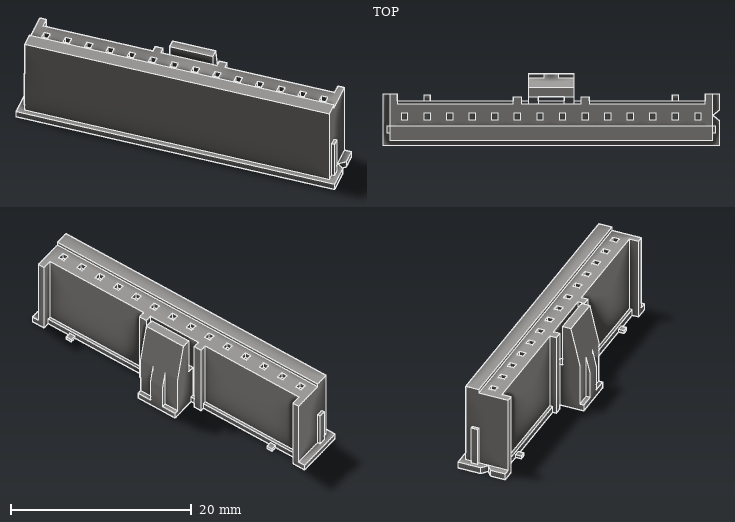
import cadquery as cq

length = 37.3
depth = 8.0
height = 10.5

flange_height = 0.8
flange_depth = 5.75
flange_overhang = 0.82
notch_depth = 0.75
notch_half_width = 0.6
notch_y = 3.35

body_length = length - 2 * flange_overhang
body_front = 0.55
body_back = 4.63
body_top = 10.07
lip_back = 2.15

end_wall_thickness = 0.8
recess_length = body_length - 2 * end_wall_thickness
ledge_back = 4.95

contact_count = 14
pitch = 2.5
pocket_width = 0.7
pocket_length = 0.8
pocket_y = 3.2
pocket_depth = 0.75

guide_thickness = 0.35
guide_front = 1.38
guide_top = 5.4

rib_back = 5.4
rib_width = 0.95
rib_offset = 1.5 * pitch
lug_width = 0.7
lug_back = 5.65
lug_height = 0.37
lug_offset = 5.5 * pitch

latch_width = 5.07
latch_front = 5.4
latch_top_back = 6.4
latch_slope_bottom = 3.9
latch_side_cut = 1.7
latch_side_back = 7.5
leg_width = 1.12
leg_top = 5.4


def block(x_center, width, y_front, y_back, z_bottom, z_top):
    """Box centred on x_center, spanning the given Y and Z ranges."""
    box = cq.Workplane("XY").box(
        width, y_back - y_front, z_top - z_bottom, centered=(True, False, False)
    )
    return box.translate((x_center, y_front, z_bottom))


def make_housing():
    flange = block(0, length, 0, flange_depth, 0, flange_height)
    body = block(0, body_length, body_front, flange_depth, 0, body_top)
    lip = block(0, body_length, body_front, lip_back, 0, height)
    recess = block(0, recess_length, body_back, flange_depth, 0, body_top)
    ledge = block(0, recess_length, body_back, ledge_back, 0, flange_height)
    return flange.union(body).union(lip).cut(recess).union(ledge)


def make_notch():
    """V-shaped keying notch in the +X edge of the flange."""
    edge = length / 2
    return (
        cq.Workplane("XY")
        .moveTo(edge, notch_y - notch_half_width)
        .lineTo(edge - notch_depth, notch_y)
        .lineTo(edge, notch_y + notch_half_width)
        .close()
        .extrude(flange_height)
    )


def make_pockets():
    """Row of blind contact openings in the top face."""
    return (
        cq.Workplane("XY", origin=(0, pocket_y, body_top - pocket_depth))
        .rarray(pitch, 0.37, contact_count, 1)
        .rect(pocket_width, pocket_length)
        .extrude(pocket_depth)
    )


def make_latch():
    """Sloped lever behind the housing, joined to it by two legs."""
    lever = (
        cq.Workplane("YZ", origin=(-latch_width / 2, 0, 0))
        .moveTo(latch_front, 0)
        .lineTo(depth, 0)
        .lineTo(depth, latch_slope_bottom)
        .lineTo(latch_top_back, height)
        .lineTo(latch_front, height)
        .close()
        .extrude(latch_width)
    )
    for side in (-1, 1):
        cut_x = side * (latch_width - latch_side_cut) / 2
        leg_x = side * (latch_width - leg_width) / 2
        side_cut = block(cut_x, latch_side_cut, latch_side_back, depth, flange_height, height)
        leg = block(leg_x, leg_width, body_back, latch_front, 0, leg_top)
        lever = lever.cut(side_cut).union(leg)
    return lever


def make_side_details(side):
    """End guide, back rib and back lug on the -X (-1) or +X (+1) half."""
    guide_x = side * (body_length + guide_thickness) / 2
    guide = block(guide_x, guide_thickness, guide_front, lip_back, 0, guide_top)
    rib = block(side * rib_offset, rib_width, body_back, rib_back, 0, body_top)
    lug = block(side * lug_offset, lug_width, body_back, lug_back, 0, lug_height)
    return guide, rib, lug


result = make_housing().cut(make_notch()).cut(make_pockets()).union(make_latch())
for side in (-1, 1):
    for detail in make_side_details(side):
        result = result.union(detail)